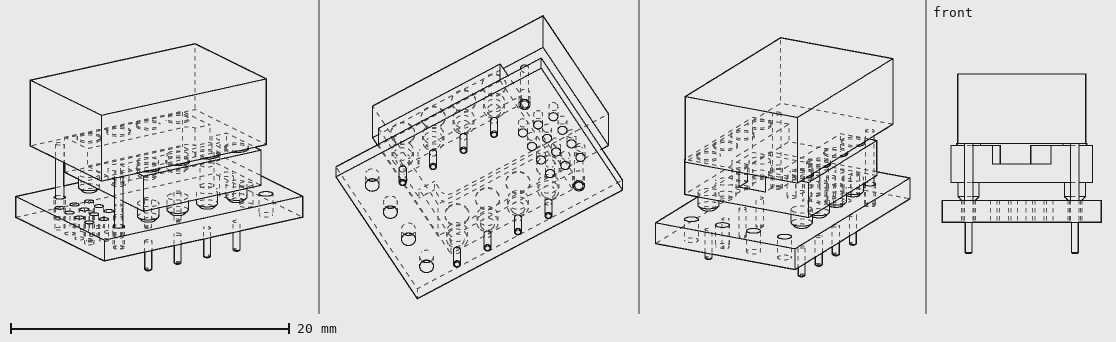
import cadquery as cq

row_spacing = 7.63
row_x = row_spacing / 2
pins_per_row = 4
pitch = row_spacing / (pins_per_row - 1)
half_pitch = pitch / 2

board_width = 11.43
board_length = 17.14
board_thickness = 1.6

socket_side = 10.16
socket_height = 2.67
socket_y = 0.3
standoff = 1.27
collar_diameter = 1.53
collar_foot_diameter = 1.0
pin_diameter = 0.51
pin_tip_chamfer = 0.07
pin_length = 2.21
flange_diameter = 1.73
flange_thickness = 0.12

recess_width = 4.23
recess_depth = 1.34
recess_corner_radius = 0.58
end_wall = half_pitch
notch_left = -recess_width / 2 + recess_corner_radius
notch_right = 0.63

block_width = 9.2
block_length = 14.25
block_height = 5.0
block_y = -0.95
post_diameter = 0.6
post_hole_diameter = 0.8
post_y = socket_y - row_x - pitch

edge_hole_diameter = 1.0
edge_hole_y = socket_y + row_x + pitch
vent_diameter = 0.65
vent_columns = 4
vent_rows = 3

socket_bottom = board_thickness + standoff
socket_top = socket_bottom + socket_height
block_bottom = socket_top + flange_thickness

pin_points = [
    (x, socket_y - row_x + index * pitch)
    for x in (-row_x, row_x)
    for index in range(pins_per_row)
]
post_points = [(-row_x, post_y), (row_x, post_y)]


def box_on(width, length, height, y, bottom):
    """Box centred on x = 0 and the given y, standing on the given level."""
    return cq.Workplane("XY", origin=(0, y, bottom)).box(width, length, height, centered=(True, True, False))


def cylinders(points, diameter, bottom, top):
    """Vertical cylinders at the given points between two levels."""
    plane = cq.Workplane("XY", origin=(0, 0, bottom))
    return plane.pushPoints(points).circle(diameter / 2).extrude(top - bottom)


def make_board():
    board = box_on(board_width, board_length, board_thickness, 0, 0)
    edge_holes = cq.Workplane("XY").center(0, edge_hole_y).rarray(pitch, 0.17, pins_per_row, 1)
    board = board.cut(edge_holes.circle(edge_hole_diameter / 2).extrude(board_thickness))
    vents = cq.Workplane("XY").center(0, post_y).rarray(half_pitch, half_pitch, vent_columns, vent_rows)
    board = board.cut(vents.circle(vent_diameter / 2).extrude(board_thickness))
    return board.cut(cylinders(post_points, post_hole_diameter, 0, board_thickness))


def make_socket():
    body = box_on(socket_side, socket_side, socket_height, socket_y, socket_bottom)
    recess_floor = socket_top - recess_depth
    recess_length = socket_side - end_wall
    recess = box_on(recess_width, recess_length, recess_depth, socket_y - end_wall / 2, recess_floor)
    recess = recess.edges("|Z and >Y").fillet(recess_corner_radius)
    notch_width = notch_right - notch_left
    notch = box_on(notch_width, socket_side, recess_depth, socket_y, recess_floor)
    notch = notch.translate(((notch_left + notch_right) / 2, 0, 0))
    return body.cut(recess).cut(notch)


def make_socket_pins():
    """Pins through the board, with 45-degree tapered collars below the socket and flanges above it."""
    pins = cylinders(pin_points, pin_diameter, -pin_length, board_thickness)
    pins = pins.faces("<Z").chamfer(pin_tip_chamfer)
    collars = cylinders(pin_points, collar_diameter, board_thickness, socket_bottom)
    collars = collars.faces("<Z").chamfer((collar_diameter - collar_foot_diameter) / 2)
    flanges = cylinders(pin_points, flange_diameter, socket_top, block_bottom)
    return pins.union(collars).union(flanges)


def make_block():
    block = box_on(block_width, block_length, block_height, block_y, block_bottom)
    return block.union(cylinders(post_points, post_diameter, 0, block_bottom))


result = make_board().union(make_socket()).union(make_socket_pins()).union(make_block())